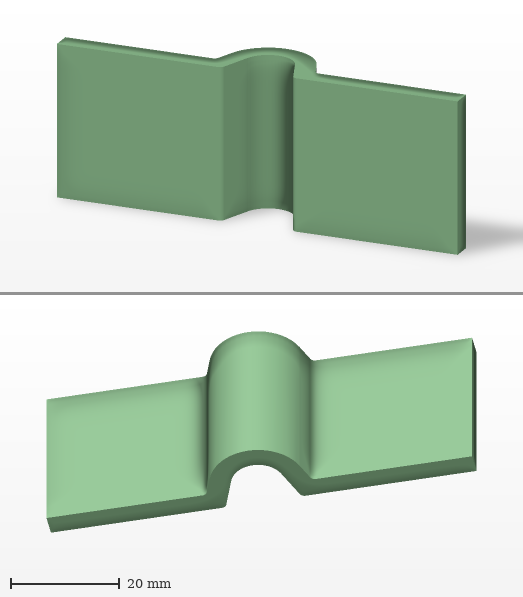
import cadquery as cq
import math

length = 80.0
depth = 14.0
height = 30.0
thickness = 4.0
flank_angle = math.radians(20)

inner_radius = 1.25 * thickness
outer_radius = inner_radius + thickness
bend_radius = thickness / 4
arch_center_y = depth - outer_radius


def arch_tangent(radius):
    """Point where the right-hand flank meets an arch arc of this radius."""
    x = radius * math.cos(flank_angle)
    y = arch_center_y + radius * math.sin(flank_angle)
    return x, y


def flank_foot(radius, foot_y):
    """Point where the right-hand flank line reaches the flange face at foot_y."""
    x, y = arch_tangent(radius)
    return x + (y - foot_y) * math.tan(flank_angle), foot_y


def mirrored(point):
    return -point[0], point[1]


inner_tangent = arch_tangent(inner_radius)
outer_tangent = arch_tangent(outer_radius)
inner_foot = flank_foot(inner_radius, 0)
outer_foot = flank_foot(outer_radius, thickness)

strip = (
    cq.Workplane("XY")
    .moveTo(-length / 2, 0)
    .lineTo(*mirrored(inner_foot))
    .lineTo(*mirrored(inner_tangent))
    .threePointArc((0, arch_center_y + inner_radius), inner_tangent)
    .lineTo(*inner_foot)
    .lineTo(length / 2, 0)
    .lineTo(length / 2, thickness)
    .lineTo(*outer_foot)
    .lineTo(*outer_tangent)
    .threePointArc((0, depth), mirrored(outer_tangent))
    .lineTo(*mirrored(outer_foot))
    .lineTo(-length / 2, thickness)
    .close()
    .extrude(height)
)

bend_points = [
    (x, y, height / 2)
    for corner in (inner_foot, outer_foot)
    for x, y in (corner, mirrored(corner))
]
result = strip
for point in bend_points:
    bend_edge = cq.selectors.NearestToPointSelector(point)
    result = result.edges("|Z").edges(bend_edge).fillet(bend_radius)